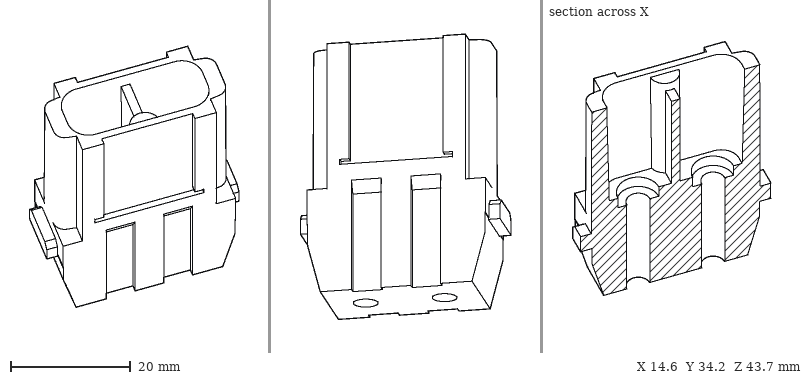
import cadquery as cq
import math

width = 14.6
length = 30.42
length_over_lugs = 34.2
height = 43.65
shoulder_z = 18.1

notch_depth = 3.4
tongue_flat = 4.25
tongue_radius = 2.05
tongue_tilt = math.radians(8)
tongue_draft = 0.2
tongue_overlap = 0.45

end_step_z = 12.0
end_step = 0.1
bevel_z = 8.4
bevel_inset = 2.25

side_depth = 1.1
recess_width = 16.0
recess_foot_width = 19.2
recess_z = 22.2
recess_foot_height = 0.87

slot_width = 5.05
slot_offset = 5.05
slot_roof_inner_z = 17.2
slot_roof_outer_z = 19.3

lug_front_width = 8.85
lug_back_width = 7.05
lug_projection = (length_over_lugs - length) / 2
lug_bottom_z = 11.7
lug_height = 3.62
lug_chamfer = 1.0

cavity_width = 9.9
cavity_length = 24.7
cavity_radius = 7.3 / 2
cavity_depth = 21.82
cavity_draft = 1.2
cavity_floor_z = height - cavity_depth

bore_spacing = 13.45
bore_diameter = 4.1
counterbore_diameter = 7.3
counterbore_depth = 2.2

pillar_radius = 2.58
pillar_center_x = 5.1
pillar_top_z = 42.65
web_thickness = 1.55
web_top_z = 40.95
wall_overlap = 0.45


def box_between(x_range, y_range, z_range):
    """Axis-aligned box given by its limits along each axis."""
    sizes = [high - low for low, high in (x_range, y_range, z_range)]
    corner = (x_range[0], y_range[0], z_range[0])
    return cq.Workplane("XY").box(*sizes, centered=False).translate(corner)


def make_base():
    """Lower block: Y-Z outline with stepped and bevelled ends, extruded along X."""
    half = length / 2
    stepped = half - end_step
    foot = half - bevel_inset
    right_side = [
        (foot, 0),
        (stepped, bevel_z),
        (stepped, end_step_z),
        (half, end_step_z),
        (half, shoulder_z),
    ]
    left_side = [(-y, z) for y, z in reversed(right_side)]
    return cq.Workplane("YZ").polyline(right_side + left_side).close().extrude(width / 2, both=True)


def make_tongue():
    """Tongue at the +Y end: slightly flared flanks run tangent into two corner arcs, drafted upwards."""
    root_y = length / 2 - notch_depth - tongue_overlap
    center_x = tongue_flat / 2
    center_y = length / 2 - tongue_radius

    def arc_point(angle):
        return (center_x + tongue_radius * math.cos(angle), center_y + tongue_radius * math.sin(angle))

    def mirrored(point):
        return (-point[0], point[1])

    flank = arc_point(tongue_tilt)
    middle = arc_point((tongue_tilt + math.pi / 2) / 2)
    tip = arc_point(math.pi / 2)
    root = (flank[0] + (flank[1] - root_y) * math.tan(tongue_tilt), root_y)
    outline = (
        cq.Workplane("XY")
        .workplane(offset=shoulder_z)
        .moveTo(*root)
        .lineTo(*flank)
        .threePointArc(middle, tip)
        .lineTo(*mirrored(tip))
        .threePointArc(mirrored(middle), mirrored(flank))
        .lineTo(*mirrored(root))
        .close()
    )
    return outline.extrude(height - shoulder_z, taper=tongue_draft)


def make_lug(lug_width):
    """Lug on the -Y end with its two upper corners chamfered."""
    lug = box_between(
        (-lug_width / 2, lug_width / 2),
        (-length / 2 - lug_projection, -length / 2 + end_step),
        (lug_bottom_z, lug_bottom_z + lug_height),
    )
    upper_corners = lug.edges("|Y and >Z")
    return upper_corners.chamfer(lug_chamfer)


def make_side_recess():
    """Recess on the -X side, widened at its lower end."""
    x_range = (-width / 2, -width / 2 + side_depth)
    half = recess_width / 2
    foot_half = recess_foot_width / 2
    panel = box_between(x_range, (-half, half), (recess_z, height))
    foot = box_between(x_range, (-foot_half, foot_half), (recess_z, recess_z + recess_foot_height))
    return panel.union(foot)


def make_side_slot(y_center):
    """Slot on the -X side, open at the underside, with a roof that falls inwards."""
    outer_x = -width / 2
    inner_x = outer_x + side_depth
    outline = [(outer_x, 0), (inner_x, 0), (inner_x, slot_roof_inner_z), (outer_x, slot_roof_outer_z)]
    slot = cq.Workplane("XZ").polyline(outline).close().extrude(slot_width / 2, both=True)
    return slot.translate((0, y_center, 0))


def make_cavity():
    """Rounded rectangular pocket, drafted inwards towards its floor."""
    sketch = cq.Sketch().rect(cavity_width, cavity_length).vertices().fillet(cavity_radius)
    rim = cq.Workplane("XY").workplane(offset=height).placeSketch(sketch)
    return rim.extrude(-cavity_depth, taper=cavity_draft)


def make_pillar():
    """Round pillar embedded in the +X wall, trimmed just inside that wall."""
    wall_x = cavity_width / 2 + wall_overlap
    z_range = (cavity_floor_z, pillar_top_z)
    pillar = (
        cq.Workplane("XY")
        .workplane(offset=cavity_floor_z)
        .center(pillar_center_x, 0)
        .circle(pillar_radius)
        .extrude(pillar_top_z - cavity_floor_z)
    )
    return pillar.intersect(box_between((0, wall_x), (-pillar_radius, pillar_radius), z_range))


half_middle = length / 2 - notch_depth
housing = make_base()
housing = housing.union(
    box_between((-width / 2, width / 2), (-half_middle, half_middle), (shoulder_z, height))
)
tongue = make_tongue()
housing = housing.union(tongue).union(tongue.mirror("XZ"))
housing = housing.union(make_lug(lug_front_width))
housing = housing.union(make_lug(lug_back_width).mirror("XZ"))

side_cuts = [make_side_recess(), make_side_slot(-slot_offset), make_side_slot(slot_offset)]
for side_cut in side_cuts:
    housing = housing.cut(side_cut).cut(side_cut.mirror("YZ"))

web = box_between(
    (-cavity_width / 2 - wall_overlap, pillar_center_x),
    (-web_thickness / 2, web_thickness / 2),
    (cavity_floor_z, web_top_z),
)
housing = housing.cut(make_cavity())
housing = housing.union(web).union(make_pillar())

result = (
    housing.copyWorkplane(cq.Workplane("XY", origin=(0, 0, cavity_floor_z)))
    .pushPoints([(0, -bore_spacing / 2), (0, bore_spacing / 2)])
    .cboreHole(bore_diameter, counterbore_diameter, counterbore_depth)
)